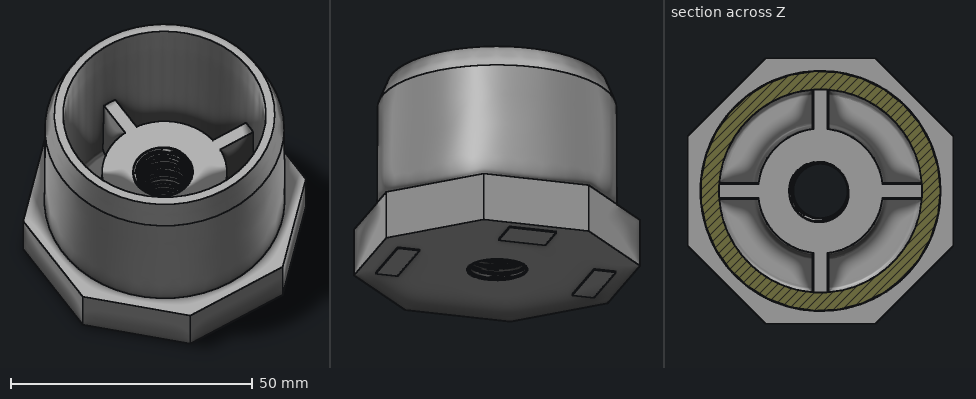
import cadquery as cq
import math

across_flats = 55.0
overall_height = 41.3
pad_height = 0.3
body_height = overall_height - pad_height

flange_thickness = 10.2
flange_sides = 8

spigot_base_radius = 24.9
spigot_shoulder_radius = 24.8
rim_radius = 22.8
bevel_height = 4.9
bore_diameter = 42.0
bore_radius = bore_diameter / 2

floor_thickness = 3.85
hub_top = 20.15
hub_top_radius = 12.9
draft_angle = 1.0
fillet_radius = 1.1
rib_count = 4
rib_top_width = 2.8

thread_minor_radius = 5.7
thread_depth = 0.8
thread_pitch = 1.3
thread_flank_angle = 27.5
thread_root_width = 0.2
flank_steps = 6
thread_exit_angle = 235.0

side_pad_x = (-25.3, -17.6)
side_pad_y = (-5.05, 5.05)
end_pad_x = (-6.95, 8.45)
end_pad_y = (18.9, 23.65)

hub_height = hub_top - floor_thickness
draft_shift = hub_height * math.tan(math.radians(draft_angle))


def make_flange():
    """Octagonal prism with two flats square to X and two square to Y."""
    corner_diameter = across_flats / math.cos(math.pi / flange_sides)
    return (
        cq.Workplane("XY")
        .polygon(flange_sides, corner_diameter)
        .extrude(flange_thickness)
        .rotate((0, 0, 0), (0, 0, 1), 180 / flange_sides)
    )


def make_spigot():
    """Solid of revolution for the outside of the tube."""
    return (
        cq.Workplane("XZ")
        .polyline([
            (0, 0),
            (spigot_base_radius, 0),
            (spigot_base_radius, flange_thickness),
            (spigot_shoulder_radius, body_height - bevel_height),
            (rim_radius, body_height),
            (0, body_height),
        ])
        .close()
        .revolve(360, (0, 0), (0, 1))
    )


def make_cavity():
    """Space inside the tube around the drafted hub, rounded where both walls meet the floor."""
    cavity = (
        cq.Workplane("XY", origin=(0, 0, floor_thickness))
        .circle(bore_radius)
        .extrude(body_height - floor_thickness)
    )
    hub = (
        cq.Workplane("XY", origin=(0, 0, floor_thickness))
        .circle(hub_top_radius + draft_shift)
        .extrude(hub_height, taper=draft_angle)
    )
    return cavity.cut(hub).faces("<Z").edges().fillet(fillet_radius)


def make_ribs():
    """Drafted ribs, flush with the hub top, joining the hub to the tube wall."""
    inner_end = hub_top_radius / 2
    outer_end = (bore_radius + spigot_shoulder_radius) / 2
    half_top = rib_top_width / 2
    half_base = half_top + draft_shift
    rib = (
        cq.Workplane("YZ", origin=(inner_end, 0, 0))
        .polyline([
            (-half_base, floor_thickness),
            (half_base, floor_thickness),
            (half_top, hub_top),
            (-half_top, hub_top),
        ])
        .close()
        .extrude(outer_end - inner_end)
    )
    ribs = cq.Workplane("XY")
    for index in range(rib_count):
        ribs = ribs.add(rib.rotate((0, 0, 0), (0, 0, 1), index * 360 / rib_count))
    return ribs.combine()


def polar(radius, angle):
    """Point in the XY plane at a radius and an angle in radians."""
    return (radius * math.cos(angle), radius * math.sin(angle))


def make_threaded_hole():
    """Space of a right-hand threaded hole: its level cross-section twisted once per pitch."""
    axial_to_angle = 2 * math.pi / thread_pitch
    root_end = thread_root_width / 2 * axial_to_angle
    flank_sweep = thread_depth * math.tan(math.radians(thread_flank_angle)) * axial_to_angle
    crest_start = root_end + flank_sweep
    root_radius = thread_minor_radius + thread_depth

    flank = []
    for step in range(1, flank_steps + 1):
        fraction = step / flank_steps
        flank.append((root_radius - thread_depth * fraction, root_end + flank_sweep * fraction))
    flank_in = [polar(radius, angle) for radius, angle in flank]
    flank_out = [polar(radius, -angle) for radius, angle in reversed(flank[:-1])]
    flank_out.append(polar(root_radius, -root_end))

    twist = 360 * hub_top / thread_pitch
    hole = (
        cq.Workplane("XY")
        .moveTo(*polar(root_radius, -root_end))
        .threePointArc(polar(root_radius, 0), polar(root_radius, root_end))
        .spline(flank_in, includeCurrent=True)
        .threePointArc(polar(thread_minor_radius, math.pi), polar(thread_minor_radius, -crest_start))
        .spline(flank_out, includeCurrent=True)
        .close()
        .twistExtrude(hub_top, twist)
    )
    return hole.rotate((0, 0, 0), (0, 0, 1), thread_exit_angle - twist)


def make_pad(x_range, y_range):
    """Low rectangular pad hanging below the flange."""
    size_x = x_range[1] - x_range[0]
    size_y = y_range[1] - y_range[0]
    return (
        cq.Workplane("XY", origin=(x_range[0], y_range[0], -pad_height))
        .rect(size_x, size_y, centered=False)
        .extrude(pad_height)
    )


result = make_flange().union(make_spigot()).cut(make_cavity()).union(make_ribs())
result = result.cut(make_threaded_hole())

result = result.union(make_pad(side_pad_x, side_pad_y))
result = result.union(make_pad(end_pad_x, end_pad_y))
result = result.union(make_pad(end_pad_x, (-end_pad_y[1], -end_pad_y[0])))